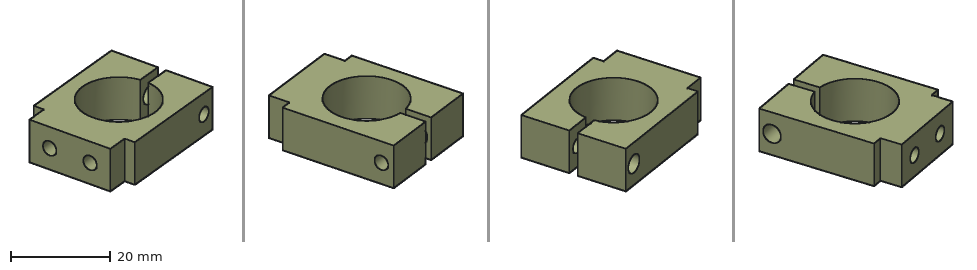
import cadquery as cq

width = 25.0
length = 32.0
height = 10.0

foot_width = 20.0
foot_length = 5.0

bore_diameter = 17.8
bore_center_y = 17.0
slit_width = 2.0

screw_y = length - 3.0
clearance_diameter = 4.2
screw_hole_diameter = 3.33

mount_hole_diameter = 3.33
mount_hole_spacing = 10.0
mount_hole_depth = 8.0


def make_body():
    foot = cq.Workplane("XY").box(foot_width, length, height, centered=(True, False, True))
    block = cq.Workplane("XY").box(
        width, length - foot_length, height, centered=(True, False, True)
    )
    return foot.union(block.translate((0, foot_length, 0)))


def make_bore_and_slit():
    bore = (
        cq.Workplane("XY")
        .center(0, bore_center_y)
        .circle(bore_diameter / 2)
        .extrude(height / 2, both=True)
    )
    slit = cq.Workplane("XY").box(
        slit_width, length - bore_center_y, height, centered=(True, False, True)
    )
    return bore.union(slit.translate((0, bore_center_y, 0)))


def make_screw_half(diameter, direction):
    """Cylinder along X from the slit centre to one side face."""
    return (
        cq.Workplane("YZ")
        .center(screw_y, 0)
        .circle(diameter / 2)
        .extrude(direction * width / 2)
    )


def make_mount_holes():
    return (
        cq.Workplane("XZ")
        .rarray(mount_hole_spacing, 0.32, 2, 1)
        .circle(mount_hole_diameter / 2)
        .extrude(-mount_hole_depth)
    )


result = (
    make_body()
    .cut(make_bore_and_slit())
    .cut(make_screw_half(clearance_diameter, -1))
    .cut(make_screw_half(screw_hole_diameter, 1))
    .cut(make_mount_holes())
)